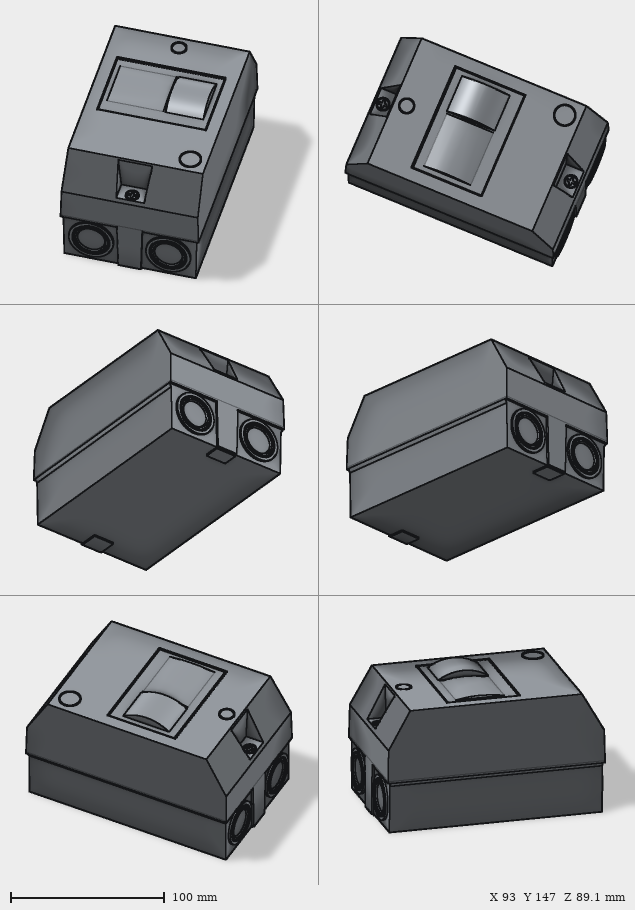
import cadquery as cq

LENGTH = 147.0
WIDTH = 93.0
HEIGHT = 89.1
HALF_LENGTH = LENGTH / 2
HALF_WIDTH = WIDTH / 2

FOOT_HEIGHT = 1.0
BASE_SHOULDER_Z = 33.2
RIM_BOTTOM_Z = 35.7
RIM_TOP_Z = 37.3
BEVEL_START_Z = 58.4
LID_TOP_Z = 84.4

BASE_HALF_LENGTH = 72.0
BASE_BOTTOM_HALF_WIDTH = 44.4
BASE_SHOULDER_HALF_WIDTH = 45.0

LID_TOP_HALF_WIDTH = 45.4
LID_BEVEL_HALF_LENGTH = 73.0
LID_TOP_HALF_LENGTH = 58.2

WEB_TOP_HALF_WIDTH = 8.5
WEB_BOTTOM_HALF_WIDTH = 7.6
FRONT_FOOT_LENGTH = 13.0
BACK_FOOT_LENGTH = 11.0

KNOCKOUT_X = 26.0
KNOCKOUT_Z = 19.3
KNOCKOUT_RADIUS = 15.0
GROOVE_OUTER_RADIUS = 12.6
GROOVE_INNER_RADIUS = 11.5
GROOVE_DEPTH = 1.3
DISH_RIM_RADIUS = 10.1
DISH_FLOOR_RADIUS = 9.3
DISH_DEPTH = 1.0

POCKET_FLOOR_Z = 60.9
POCKET_INNER_Y = 59.0
POCKET_FLOOR_HALF_WIDTH = 9.4
POCKET_TOP_HALF_WIDTH = 11.6
SCREW_Y = 66.5
SCREW_RADIUS = 3.8
SCREW_HOLE_RADIUS = 4.4
SCREW_GAP_DEPTH = 0.7
CROSS_LENGTH = 5.0
CROSS_WIDTH = 1.6
CROSS_DEPTH = 0.7

PLUG_Y = 49.7
PLUG_RADIUS = 4.5
PLUG_HOLE_RADIUS = 5.1
PLUG_GAP_DEPTH = 0.7

WINDOW_WIDTH = 73.5
WINDOW_Y_MIN = -18.8
WINDOW_Y_MAX = 31.0
WINDOW_DEPTH = 1.2
WINDOW_FLOOR_Z = LID_TOP_Z - WINDOW_DEPTH
PANEL_WIDTH = 72.3
PANEL_Y_MIN = -18.2
PANEL_Y_MAX = 29.8
PANEL_TOP_Z = 84.0

SWITCH_Y = 7.4
COVER_X = (-32.6, 5.5)
COVER_HALF_LENGTH = 16.5
COVER_TOP_Z = 85.4
ROCKER_X = (6.9, 32.5)
ROCKER_HALF_LENGTH = 16.9
SWITCH_END_TAPER = 0.5

RING_X = 34.1
RING_Y = -47.6
RING_RADIUS = 7.2
RING_INNER_RADIUS = 6.6
RING_HEIGHT = 0.5


def trapezoid(plane, bottom_half, bottom_z, top_half, top_z):
    """Symmetric trapezoid whose second axis is Z, ready to extrude."""
    return (
        cq.Workplane(plane)
        .moveTo(-bottom_half, bottom_z)
        .lineTo(bottom_half, bottom_z)
        .lineTo(top_half, top_z)
        .lineTo(-top_half, top_z)
        .close()
    )


def block(x_min, x_max, y_min, y_max, z_min, z_max):
    """Box between the given limits."""
    size = (x_max - x_min, y_max - y_min, z_max - z_min)
    return cq.Workplane("XY").box(*size, centered=False).translate((x_min, y_min, z_min))


def tube(outer_radius, inner_radius, height):
    """Upright ring standing on the XY plane."""
    return cq.Workplane("XY").circle(outer_radius).circle(inner_radius).extrude(height)


def make_base():
    """Drafted box that flares out on its long sides to meet the rim."""
    lower = trapezoid(
        "XZ", BASE_BOTTOM_HALF_WIDTH, FOOT_HEIGHT, BASE_SHOULDER_HALF_WIDTH, BASE_SHOULDER_Z
    ).extrude(BASE_HALF_LENGTH, both=True)
    flare = trapezoid(
        "XZ", BASE_SHOULDER_HALF_WIDTH, BASE_SHOULDER_Z, HALF_WIDTH, RIM_BOTTOM_Z
    ).extrude(BASE_HALF_LENGTH, both=True)
    rim = block(-HALF_WIDTH, HALF_WIDTH, -HALF_LENGTH, HALF_LENGTH, RIM_BOTTOM_Z, RIM_TOP_Z)
    return lower.union(flare).union(rim)


def make_lid():
    """Drafted cover with a large bevel at each end."""
    across = trapezoid("XZ", HALF_WIDTH, RIM_TOP_Z, LID_TOP_HALF_WIDTH, LID_TOP_Z).extrude(LENGTH, both=True)
    along = (
        cq.Workplane("YZ")
        .moveTo(-HALF_LENGTH, RIM_TOP_Z)
        .lineTo(HALF_LENGTH, RIM_TOP_Z)
        .lineTo(LID_BEVEL_HALF_LENGTH, BEVEL_START_Z)
        .lineTo(LID_TOP_HALF_LENGTH, LID_TOP_Z)
        .lineTo(-LID_TOP_HALF_LENGTH, LID_TOP_Z)
        .lineTo(-LID_BEVEL_HALF_LENGTH, BEVEL_START_Z)
        .close()
        .extrude(WIDTH, both=True)
    )
    return across.intersect(along)


def make_webs():
    """Tapered rib in the middle of both ends."""
    return trapezoid(
        "XZ", WEB_BOTTOM_HALF_WIDTH, FOOT_HEIGHT, WEB_TOP_HALF_WIDTH, RIM_BOTTOM_Z
    ).extrude(HALF_LENGTH, both=True)


def make_foot(y_min, length):
    """Flat foot under the base, as wide as the bottom of the webs."""
    y_max = y_min + length
    return block(-WEB_BOTTOM_HALF_WIDTH, WEB_BOTTOM_HALF_WIDTH, y_min, y_max, 0, FOOT_HEIGHT)


def make_knockout(x):
    """Knockout disc with a ring groove and a conical dish, on the front end."""
    disc_height = HALF_LENGTH - BASE_HALF_LENGTH
    disc = cq.Workplane("XY").circle(KNOCKOUT_RADIUS).extrude(disc_height)
    groove = tube(GROOVE_OUTER_RADIUS, GROOVE_INNER_RADIUS, GROOVE_DEPTH)
    dish = (
        cq.Workplane("XY", origin=(0, 0, disc_height - DISH_DEPTH))
        .circle(DISH_FLOOR_RADIUS)
        .workplane(offset=DISH_DEPTH)
        .circle(DISH_RIM_RADIUS)
        .loft()
    )
    disc = disc.cut(groove.translate((0, 0, disc_height - GROOVE_DEPTH))).cut(dish)
    return disc.rotate((0, 0, 0), (1, 0, 0), 90).translate((x, -BASE_HALF_LENGTH, KNOCKOUT_Z))


def make_screw_pocket():
    """Cut for the front pocket: tapered recess, gap around the screw head, cross slot."""
    recess = (
        trapezoid("XZ", POCKET_FLOOR_HALF_WIDTH, POCKET_FLOOR_Z, POCKET_TOP_HALF_WIDTH, LID_TOP_Z)
        .extrude(HALF_LENGTH - POCKET_INNER_Y)
        .translate((0, -POCKET_INNER_Y, 0))
    )
    gap = tube(SCREW_HOLE_RADIUS, SCREW_RADIUS, SCREW_GAP_DEPTH).translate(
        (0, -SCREW_Y, POCKET_FLOOR_Z - SCREW_GAP_DEPTH)
    )
    screw_plane = cq.Workplane("XY", origin=(0, -SCREW_Y, POCKET_FLOOR_Z))
    slot = screw_plane.rect(CROSS_LENGTH, CROSS_WIDTH).extrude(-CROSS_DEPTH)
    cross_slot = screw_plane.rect(CROSS_WIDTH, CROSS_LENGTH).extrude(-CROSS_DEPTH)
    return recess.union(gap).union(slot).union(cross_slot)


def make_arched_block(x_min, x_max, half_length, top_z, taper_left, taper_right):
    """Block on the panel with a top arched along Y and ends leaning in along X."""
    arch = (
        cq.Workplane("YZ")
        .moveTo(SWITCH_Y - half_length, WINDOW_FLOOR_Z)
        .lineTo(SWITCH_Y - half_length, PANEL_TOP_Z)
        .threePointArc((SWITCH_Y, top_z), (SWITCH_Y + half_length, PANEL_TOP_Z))
        .lineTo(SWITCH_Y + half_length, WINDOW_FLOOR_Z)
        .close()
        .extrude(WIDTH, both=True)
    )
    side = (
        cq.Workplane("XZ")
        .moveTo(x_min, WINDOW_FLOOR_Z)
        .lineTo(x_max, WINDOW_FLOOR_Z)
        .lineTo(x_max, PANEL_TOP_Z)
        .lineTo(x_max - taper_right, top_z)
        .lineTo(x_min + taper_left, top_z)
        .lineTo(x_min, PANEL_TOP_Z)
        .close()
        .extrude(LENGTH, both=True)
    )
    return arch.intersect(side)


def make_panel():
    """Inset panel standing on the window floor, with a narrow gap all around."""
    return block(-PANEL_WIDTH / 2, PANEL_WIDTH / 2, PANEL_Y_MIN, PANEL_Y_MAX, WINDOW_FLOOR_Z, PANEL_TOP_Z)


def both_ends(feature):
    """The feature together with its mirror image at the other end."""
    return feature.union(feature.mirror("XZ"))


result = make_base().union(make_lid()).union(make_webs())
result = result.union(make_foot(-BASE_HALF_LENGTH, FRONT_FOOT_LENGTH))
result = result.union(make_foot(BASE_HALF_LENGTH - BACK_FOOT_LENGTH, BACK_FOOT_LENGTH))
for knockout_x in (-KNOCKOUT_X, KNOCKOUT_X):
    result = result.union(both_ends(make_knockout(knockout_x)))
result = result.cut(both_ends(make_screw_pocket()))

window = block(-WINDOW_WIDTH / 2, WINDOW_WIDTH / 2, WINDOW_Y_MIN, WINDOW_Y_MAX, WINDOW_FLOOR_Z, LID_TOP_Z)
result = result.cut(window).union(make_panel())
result = result.union(make_arched_block(*COVER_X, COVER_HALF_LENGTH, COVER_TOP_Z, SWITCH_END_TAPER, 0))
result = result.union(make_arched_block(*ROCKER_X, ROCKER_HALF_LENGTH, HEIGHT, 0, SWITCH_END_TAPER))

plug_gap = tube(PLUG_HOLE_RADIUS, PLUG_RADIUS, PLUG_GAP_DEPTH)
result = result.cut(plug_gap.translate((0, PLUG_Y, LID_TOP_Z - PLUG_GAP_DEPTH)))
ring = tube(RING_RADIUS, RING_INNER_RADIUS, RING_HEIGHT)
result = result.union(ring.translate((RING_X, RING_Y, LID_TOP_Z)))